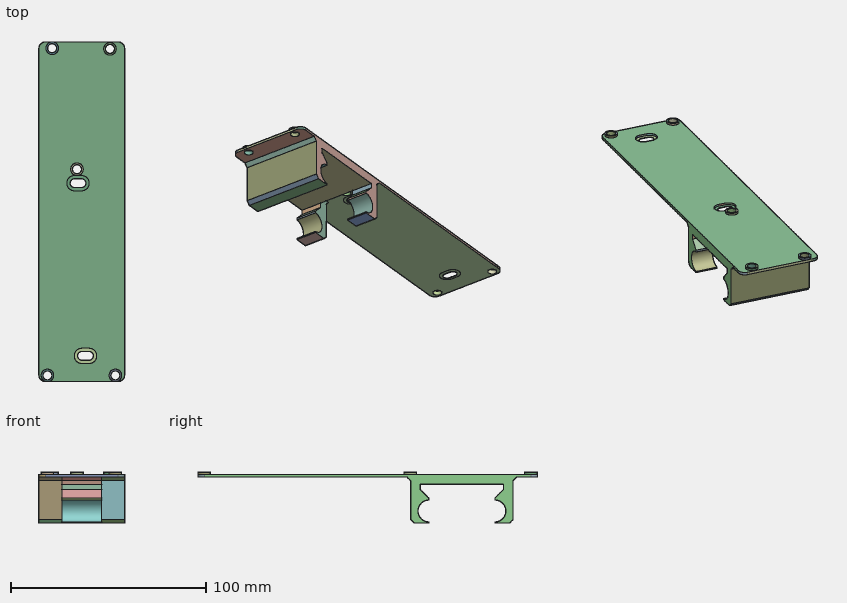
import cadquery as cq

total_height = 26.1

plate_width = 44.0
plate_length = 174.0
plate_thickness = 1.4
corner_radius = 3.5

hole_diameter = 4.5
collar_diameter = 6.5
collar_height = 1.0
front_collar_y = (collar_diameter - plate_length) / 2
collar_centers = [
    (-17.5, front_collar_y),
    (17.2, front_collar_y),
    (-15.1, 83.7),
    (14.5, 83.3),
    (-2.5, 21.8),
]

slot_length = 8.0
slot_width = 4.4
rim_margin = 1.7
rim_depth = 1.0
slot_centers = [(-2.0, 14.6), (2.0, -73.8)]

clip_depth = total_height - collar_height
clip_center_y = 48.2
clip_half_length = 26.3
clip_chamfer = 2.0
ceiling_depth = 5.2
pocket_half_length = 21.2
lip_half_length = 16.9
ramp_top_depth = 7.8
groove_radius = 5.5
groove_center_depth = 18.8

gap_width = 20.4


def make_plate():
    outline = cq.Workplane("XY").rect(plate_width, plate_length)
    return outline.extrude(-plate_thickness).edges("|Z").fillet(corner_radius)


def make_clip():
    ramp_size = pocket_half_length - lip_half_length
    flare_half_length = clip_half_length + clip_chamfer
    foot_half_length = clip_half_length - clip_chamfer
    half_profile = (
        cq.Workplane("YZ", origin=(0, clip_center_y, 0))
        .moveTo(0, -plate_thickness)
        .lineTo(flare_half_length, -plate_thickness)
        .lineTo(clip_half_length, -plate_thickness - clip_chamfer)
        .lineTo(clip_half_length, clip_chamfer - clip_depth)
        .lineTo(foot_half_length, -clip_depth)
        .lineTo(lip_half_length, -clip_depth)
        .lineTo(lip_half_length, -groove_center_depth - groove_radius)
        .threePointArc(
            (lip_half_length + groove_radius, -groove_center_depth),
            (lip_half_length, -groove_center_depth + groove_radius),
        )
        .lineTo(lip_half_length, -ramp_top_depth - ramp_size)
        .lineTo(pocket_half_length, -ramp_top_depth)
        .lineTo(pocket_half_length, -ceiling_depth)
        .lineTo(0, -ceiling_depth)
        .close()
    )
    rear_half = half_profile.extrude(plate_width / 2, both=True)
    front_half = rear_half.mirror("XZ", (0, clip_center_y, 0))
    return rear_half.union(front_half)


def make_wall_gap():
    flare_front_y = clip_center_y - clip_half_length - clip_chamfer
    gap_rear_y = clip_center_y - pocket_half_length
    lip_rear_y = clip_center_y - lip_half_length
    return (
        cq.Workplane("YZ")
        .moveTo(flare_front_y, -plate_thickness)
        .lineTo(gap_rear_y - clip_chamfer, -plate_thickness)
        .lineTo(gap_rear_y, -plate_thickness - clip_chamfer)
        .lineTo(gap_rear_y, -ceiling_depth)
        .lineTo(lip_rear_y, -ceiling_depth)
        .lineTo(lip_rear_y, -clip_depth)
        .lineTo(flare_front_y, -clip_depth)
        .close()
        .extrude(gap_width / 2, both=True)
    )


def make_collars():
    return cq.Workplane("XY").pushPoints(collar_centers).circle(collar_diameter / 2).extrude(collar_height)


def make_holes():
    top = cq.Workplane("XY", origin=(0, 0, collar_height))
    return top.pushPoints(collar_centers).circle(hole_diameter / 2).extrude(-total_height)


def make_slots():
    top = cq.Workplane("XY").pushPoints(slot_centers)
    rims = top.slot2D(slot_length + 2 * rim_margin, slot_width + 2 * rim_margin).extrude(-rim_depth)
    slots = top.slot2D(slot_length, slot_width).extrude(-plate_thickness)
    return rims.union(slots)


body = make_plate().union(make_clip()).cut(make_wall_gap()).union(make_collars())
result = body.cut(make_holes()).cut(make_slots())